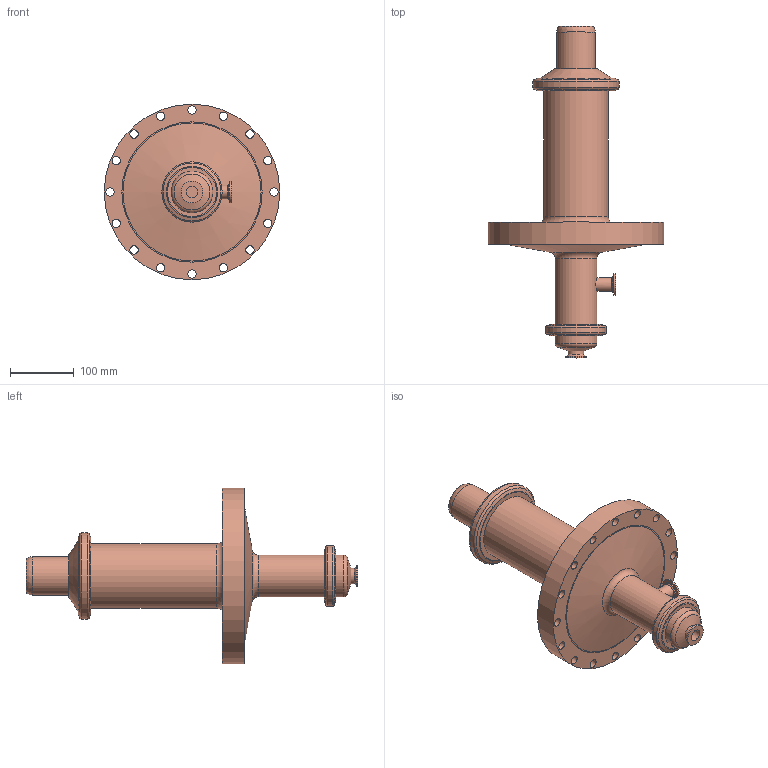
import cadquery as cq
import math


OVERALL_LENGTH = 520.13

FLANGE_DIA = 275.0
FLANGE_THICKNESS = 35.0
BOLT_COUNT = 16
BOLT_HOLE_DIA = 13.0
BOLT_CIRCLE_DIA = 257.0
CONE_BASE_DIA = 218.0
CONE_SLOPE = 10.0
NECK_FILLET = 9.4

REAR_TUBE_DIA = 101.6
WELD_DIA = 109.0
WELD_LENGTH = 9.0
REAR_CLAMP_DIA = 135.0
REAR_CLAMP_FACE_DIA = 119.0
REAR_CLAMP_WIDTH = 19.6
REAR_CLAMP_RIM_ROUND = 4.0
REAR_CLAMP_FACE_ROUND = 3.0
REAR_CLAMP_CENTRE = 250.7
REDUCER_BASE_DIA = 112.0
REDUCER_TOP_DIA = 66.0
REDUCER_TOP = 275.4
STUB_DIA = 60.5
STUB_END = 342.3
STUB_END_DIA = 54.0
STUB_ROUND_LENGTH = 9.4

FRONT_TUBE_DIA = 65.5
FRONT_CLAMP_DIA = 94.56
FRONT_CLAMP_FACE_DIA = 78.5
FRONT_CLAMP_WIDTH = 18.0
FRONT_CLAMP_RIM_ROUND = 3.0
FRONT_CLAMP_FACE_ROUND = 5.0
FRONT_CLAMP_CENTRE = -134.2
CAP_EDGE = -155.1
CAP_ROUND_LENGTH = 6.3
CAP_CONE_DIA = 56.4
CAP_SLOPE = 18.0

CLAMP_TAPER = 20.0

PORT_BORE_DIA = 18.4
PORT_RIM_DIA = 34.4
PORT_RIM_WIDTH = 2.8
FRONT_PORT_NECK_DIA = 24.0
FRONT_PORT_TAPER = ((31.0, 0.0), (FRONT_PORT_NECK_DIA, 3.2))
SIDE_PORT_NECK_DIA = 21.7
SIDE_PORT_COLLAR = ((25.0, 0.0), (25.0, 2.0), (SIDE_PORT_NECK_DIA, 3.4))
FRONT_PORT_END = STUB_END - OVERALL_LENGTH
SIDE_PORT_END = 62.0
SIDE_PORT_Y = -62.7


def revolve(profile):
    """Turn a closed (radius, Y) profile about the Y axis."""
    return profile.close().revolve(360, (0, 0, 0), (0, 1, 0))


def polar(centre, radius, angle):
    return (centre[0] + radius * math.cos(angle), centre[1] + radius * math.sin(angle))


def rounded_corner(before, corner, after, radius):
    """Start, middle and end of the arc that rounds the corner of a profile."""
    inward = math.atan2(before[1] - corner[1], before[0] - corner[0])
    outward = math.atan2(after[1] - corner[1], after[0] - corner[0])
    opening = math.remainder(outward - inward, 2 * math.pi)
    bisector = inward + opening / 2
    half = abs(opening) / 2
    setback = radius / math.tan(half)
    centre = polar(corner, radius / math.sin(half), bisector)
    return (
        polar(corner, setback, inward),
        polar(centre, radius, bisector + math.pi),
        polar(corner, setback, outward),
    )


def revolve_rounded(corners):
    """Turn a closed profile of (radius, Y, corner rounding) entries about the Y axis."""
    points = [corner[:2] for corner in corners]
    profile = cq.Workplane("XY").moveTo(*points[0])
    for i in range(1, len(corners)):
        rounding = corners[i][2]
        if rounding:
            start, middle, end = rounded_corner(points[i - 1], points[i], points[i + 1], rounding)
            profile = profile.lineTo(*start).threePointArc(middle, end)
        else:
            profile = profile.lineTo(*points[i])
    return revolve(profile)


def tangent_arc_mid(start, axial, radial):
    """Middle of an arc that leaves `start` along the axis and ends `axial`, `radial` away."""
    radius = (axial ** 2 + radial ** 2) / (2 * abs(radial))
    half_sweep = math.asin(abs(axial) / radius) / 2
    mid_axial = math.copysign(radius * math.sin(half_sweep), axial)
    mid_radial = math.copysign(radius * (1 - math.cos(half_sweep)), radial)
    return (start[0] + mid_radial, start[1] + mid_axial)


def cylinder(dia, start, end):
    return revolve(cq.Workplane("XY").moveTo(0, start).lineTo(dia / 2, start)
                   .lineTo(dia / 2, end).lineTo(0, end))


def make_flange_and_front_tube():
    """Main flange with the front tube, joined by a shallow cone blended at both ends."""
    base, tube, rim = CONE_BASE_DIA / 2, FRONT_TUBE_DIA / 2, FLANGE_DIA / 2
    cone_top = -(base - tube) * math.tan(math.radians(CONE_SLOPE))
    turned = revolve_rounded([
        (0, FLANGE_THICKNESS, 0),
        (rim, FLANGE_THICKNESS, 0),
        (rim, 0, 0),
        (base, 0, NECK_FILLET),
        (tube, cone_top, NECK_FILLET),
        (tube, FRONT_CLAMP_CENTRE, 0),
        (0, FRONT_CLAMP_CENTRE, 0),
    ])
    holes = (cq.Workplane("XZ").polarArray(BOLT_CIRCLE_DIA / 2, 0, 360, BOLT_COUNT)
             .circle(BOLT_HOLE_DIA / 2).extrude(-FLANGE_THICKNESS))
    return turned.cut(holes)


def make_rear_tube():
    """Rear tube with the curved weld flare at its foot."""
    tube, foot = REAR_TUBE_DIA / 2, WELD_DIA / 2
    flare_start = (tube, FLANGE_THICKNESS + WELD_LENGTH)
    flare_mid = tangent_arc_mid(flare_start, -WELD_LENGTH, foot - tube)
    return revolve(cq.Workplane("XY").moveTo(0, FLANGE_THICKNESS).lineTo(foot, FLANGE_THICKNESS)
                   .threePointArc(flare_mid, flare_start)
                   .lineTo(tube, REAR_CLAMP_CENTRE).lineTo(0, REAR_CLAMP_CENTRE))


def make_clamp(dia, face_dia, width, centre, rim_round, face_round):
    """Clamp ring with both faces tapered towards a rounded rim."""
    rim, face, half = dia / 2, face_dia / 2, width / 2
    rim_half = half - (rim - face) * math.tan(math.radians(CLAMP_TAPER))
    return revolve_rounded([
        (0, centre - half, 0),
        (face, centre - half, face_round),
        (rim, centre - rim_half, rim_round),
        (rim, centre + rim_half, rim_round),
        (face, centre + half, face_round),
        (0, centre + half, 0),
    ])


def make_reducer_and_stub():
    """Conical reducer behind the rear clamp and the round-ended stub beyond it."""
    base_y = REAR_CLAMP_CENTRE + REAR_CLAMP_WIDTH / 2
    stub, end = STUB_DIA / 2, STUB_END_DIA / 2
    round_start = (stub, STUB_END - STUB_ROUND_LENGTH)
    round_mid = tangent_arc_mid(round_start, STUB_ROUND_LENGTH, end - stub)
    return revolve(cq.Workplane("XY").moveTo(0, base_y).lineTo(REDUCER_BASE_DIA / 2, base_y)
                   .lineTo(REDUCER_TOP_DIA / 2, REDUCER_TOP).lineTo(stub, REDUCER_TOP)
                   .lineTo(*round_start).threePointArc(round_mid, (end, STUB_END)).lineTo(0, STUB_END))


def make_cap():
    """Dished cap: straight wall, rounded shoulder and shallow cone."""
    wall, cone = FRONT_TUBE_DIA / 2, CAP_CONE_DIA / 2
    shoulder_start = (wall, CAP_EDGE)
    shoulder_mid = tangent_arc_mid(shoulder_start, -CAP_ROUND_LENGTH, cone - wall)
    shoulder_end = (cone, CAP_EDGE - CAP_ROUND_LENGTH)
    apex_y = shoulder_end[1] - cone * math.tan(math.radians(CAP_SLOPE))
    return revolve(cq.Workplane("XY").moveTo(0, FRONT_CLAMP_CENTRE).lineTo(wall, FRONT_CLAMP_CENTRE)
                   .lineTo(*shoulder_start).threePointArc(shoulder_mid, shoulder_end).lineTo(0, apex_y))


def make_port(neck_dia, hub, end_y, root_y):
    """Port along the Y axis: neck from `root_y`, stepped hub and a rim ending at `end_y`."""
    neck, rim = neck_dia / 2, PORT_RIM_DIA / 2
    rim_y = end_y + PORT_RIM_WIDTH
    profile = cq.Workplane("XY").moveTo(0, end_y).lineTo(rim, end_y).lineTo(rim, rim_y)
    for hub_dia, offset in hub:
        profile = profile.lineTo(hub_dia / 2, rim_y + offset)
    return revolve(profile.lineTo(neck, root_y).lineTo(0, root_y))


def to_side(port):
    """Turn a port that points to -Y so that it points to +X from the front tube."""
    return port.rotate((0, 0, 0), (0, 0, 1), 90).translate((0, SIDE_PORT_Y, 0))


body = make_flange_and_front_tube()
for section in (
    make_rear_tube(),
    make_clamp(REAR_CLAMP_DIA, REAR_CLAMP_FACE_DIA, REAR_CLAMP_WIDTH, REAR_CLAMP_CENTRE,
               REAR_CLAMP_RIM_ROUND, REAR_CLAMP_FACE_ROUND),
    make_reducer_and_stub(),
    make_clamp(FRONT_CLAMP_DIA, FRONT_CLAMP_FACE_DIA, FRONT_CLAMP_WIDTH, FRONT_CLAMP_CENTRE,
               FRONT_CLAMP_RIM_ROUND, FRONT_CLAMP_FACE_ROUND),
    make_cap(),
    make_port(FRONT_PORT_NECK_DIA, FRONT_PORT_TAPER, FRONT_PORT_END, CAP_EDGE),
    to_side(make_port(SIDE_PORT_NECK_DIA, SIDE_PORT_COLLAR, -SIDE_PORT_END, 0)),
):
    body = body.union(section)

front_bore = cylinder(PORT_BORE_DIA, FRONT_PORT_END, CAP_EDGE)
side_bore = to_side(cylinder(PORT_BORE_DIA, -SIDE_PORT_END, -FRONT_TUBE_DIA / 2))

result = body.cut(front_bore).cut(side_bore)